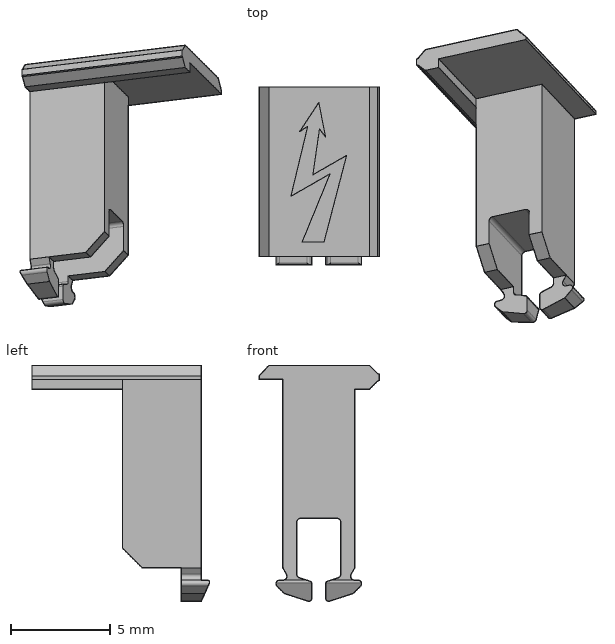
import cadquery as cq
import math

EPS = 0.001

TOTAL_HEIGHT = 11.86
HEAD_LENGTH = 8.53
HEAD_LEFT = -3.0
HEAD_RIGHT = 3.05
LEFT_THICKNESS = 0.7
LEFT_BEVEL_WIDTH = 0.49
LEFT_BEVEL_HEIGHT = 0.52
RIGHT_THICKNESS = 1.2
RIGHT_BEVEL = 0.4
NOSE_WIDTH = 0.1
NOSE_DROP = 0.04

STEM_HALF_WIDTH = 1.81
STEM_DEPTH = 3.97
STEM_BOTTOM = 1.68
STEM_CHAMFER = 1.0
SLOT_HALF_WIDTH = 1.1
SLOT_TOP = 4.17
CORNER_RADIUS = 0.2

LEG_DEPTH = 1.02
GAP_HALF_WIDTH = 0.34
BARB_TOP = 1.07
BARB_OUTER_RADIUS = 0.18
BARB_INNER_RADIUS = 0.15
NECK_ANGLE = 60.0
BARB_SLOPE = 18.0
BARB_KNEE_X = 1.73
SLOT_FLANK_Z = 1.23

LIP_OVERHANG = 0.42
LIP_RADIUS = 0.11
LIP_ANGLE = 65.7

ARROW_DEPTH = 0.2
ARROW_OUTLINE = [
    (0, 7.75), (0.34, 6.01), (0.04, 6.42), (-0.3, 4.12), (1.4, 5.09), (0.26, 0.72),
    (-0.84, 0.72), (0.57, 4.16), (-1.4, 3.04), (-0.56, 6.55), (-0.96, 6.29),
]


def prism_along_y(points, y_start, y_end):
    """Extrude an X-Z outline from y_start to y_end."""
    return cq.Workplane("XZ", origin=(0, y_start, 0)).polyline(points).close().extrude(y_start - y_end)


def round_edge_at(body, x, z, radius):
    """Round the edge parallel to Y that passes through (x, z)."""
    low = (x - EPS, -TOTAL_HEIGHT, z - EPS)
    high = (x + EPS, TOTAL_HEIGHT, z + EPS)
    return body.edges(cq.selectors.BoxSelector(low, high)).fillet(radius)


def make_head():
    tip_x = HEAD_RIGHT
    knee_x = tip_x - NOSE_WIDTH
    bevel_x = knee_x - RIGHT_BEVEL
    right_bottom = TOTAL_HEIGHT - RIGHT_THICKNESS
    left_bottom = TOTAL_HEIGHT - LEFT_THICKNESS
    outline = [
        (HEAD_LEFT + LEFT_BEVEL_WIDTH, TOTAL_HEIGHT),
        (bevel_x, TOTAL_HEIGHT),
        (knee_x, TOTAL_HEIGHT - RIGHT_BEVEL),
        (tip_x, TOTAL_HEIGHT - RIGHT_BEVEL - NOSE_DROP),
        (tip_x, right_bottom + RIGHT_BEVEL + NOSE_DROP),
        (knee_x, right_bottom + RIGHT_BEVEL),
        (bevel_x, right_bottom),
        (STEM_HALF_WIDTH, right_bottom),
        (STEM_HALF_WIDTH, left_bottom),
        (HEAD_LEFT, left_bottom),
        (HEAD_LEFT, TOTAL_HEIGHT - LEFT_BEVEL_HEIGHT),
    ]
    return prism_along_y(outline, 0, HEAD_LENGTH)


def make_stem():
    stem_top = TOTAL_HEIGHT - LEFT_THICKNESS
    stem = cq.Workplane("XY", origin=(0, 0, STEM_BOTTOM)).box(
        2 * STEM_HALF_WIDTH, STEM_DEPTH, stem_top - STEM_BOTTOM, centered=(True, False, False))
    stem = stem.edges(">Y and <Z").chamfer(STEM_CHAMFER)
    slot = cq.Workplane("XY").box(
        2 * SLOT_HALF_WIDTH, STEM_DEPTH, SLOT_TOP, centered=(True, False, False))
    slot = slot.edges("|Y and >Z").fillet(CORNER_RADIUS)
    return stem.cut(slot)


def make_lip_envelope():
    """Side outline of a leg: square behind, with the barb reaching forward under the stem."""
    tip_y = -LIP_OVERHANG
    lip_tilt = math.radians(LIP_ANGLE)
    setback = LIP_RADIUS * (1 / math.tan(lip_tilt / 2) - 1)
    sharp_y = tip_y - setback
    outline = [
        (LEG_DEPTH, 0),
        (LEG_DEPTH, STEM_BOTTOM),
        (0, STEM_BOTTOM),
        (0, BARB_TOP),
        (sharp_y, BARB_TOP),
        (sharp_y + BARB_TOP / math.tan(lip_tilt), 0),
    ]
    envelope = (cq.Workplane("YZ", origin=(-TOTAL_HEIGHT / 2, 0, 0))
                .polyline(outline).close().extrude(TOTAL_HEIGHT))
    return envelope.edges("|X and <Y").fillet(LIP_RADIUS)


def make_right_leg():
    slope = math.tan(math.radians(BARB_SLOPE))
    neck_x = STEM_HALF_WIDTH - (STEM_BOTTOM - BARB_TOP) / math.tan(math.radians(NECK_ANGLE))
    gap_top_z = SLOT_FLANK_Z - (SLOT_HALF_WIDTH - GAP_HALF_WIDTH) * slope
    gap_bottom_z = BARB_INNER_RADIUS * (1 - slope - math.hypot(1, slope))
    knee_z = gap_bottom_z + (BARB_KNEE_X - GAP_HALF_WIDTH) * slope
    outer_x = BARB_KNEE_X + BARB_TOP - knee_z
    outline = [
        (SLOT_HALF_WIDTH, STEM_BOTTOM),
        (STEM_HALF_WIDTH, STEM_BOTTOM),
        (neck_x, BARB_TOP),
        (outer_x, BARB_TOP),
        (BARB_KNEE_X, knee_z),
        (GAP_HALF_WIDTH, gap_bottom_z),
        (GAP_HALF_WIDTH, gap_top_z),
        (SLOT_HALF_WIDTH, SLOT_FLANK_Z),
    ]
    leg = prism_along_y(outline, -2 * LIP_OVERHANG, LEG_DEPTH)
    leg = round_edge_at(leg, neck_x, BARB_TOP, CORNER_RADIUS)
    leg = round_edge_at(leg, SLOT_HALF_WIDTH, SLOT_FLANK_Z, CORNER_RADIUS)
    leg = round_edge_at(leg, outer_x, BARB_TOP, BARB_OUTER_RADIUS)
    leg = round_edge_at(leg, GAP_HALF_WIDTH, gap_top_z, BARB_INNER_RADIUS)
    leg = round_edge_at(leg, GAP_HALF_WIDTH, gap_bottom_z, BARB_INNER_RADIUS)
    return leg.intersect(make_lip_envelope())


def make_arrow():
    return (cq.Workplane("XY", origin=(0, 0, TOTAL_HEIGHT))
            .polyline(ARROW_OUTLINE).close().extrude(-ARROW_DEPTH))


def make_clip(arrow):
    right_leg = make_right_leg()
    left_leg = right_leg.mirror("YZ")
    clip = make_head().union(make_stem()).union(right_leg).union(left_leg)
    return clip.cut(arrow)


arrow = make_arrow()
clip = make_clip(arrow)
result = cq.Compound.makeCompound([clip.val(), arrow.val()])